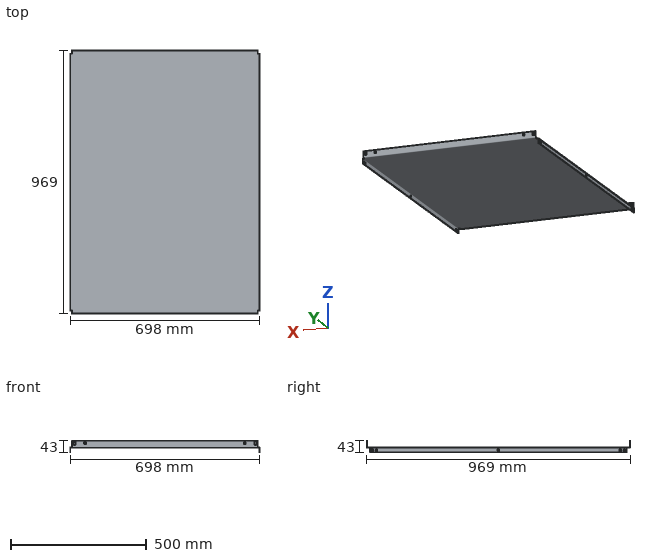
import cadquery as cq

width = 698.0
length = 969.0
thickness = 1.5
bend_inner_radius = 1.0
end_flange_height = 26.0
side_flange_height = 18.5
end_flange_length = 685.0
side_flange_length = 946.0
flange_corner_radius = 3.0

end_hole_drop = 9.0
end_hole_diameter = 7.0
end_hole_spacing = 588.0
end_slot_width = 7.0
end_slot_height = 13.0
end_slot_spacing = 666.0

side_hole_rise = 8.0
side_hole_diameter = 6.0
side_hole_spacings = (898.0, 928.0)

bend_outer_radius = bend_inner_radius + thickness
panel_bottom = -thickness
end_flange_top = panel_bottom + end_flange_height
side_flange_bottom = -side_flange_height
end_hole_z = end_flange_top - end_hole_drop
side_hole_z = side_flange_bottom + side_hole_rise


def channel(span, depth, run, corner_radius):
    """U-shaped bent strip along Y: web at the bottom, legs at both X ends, rounded free corners."""
    outer = (
        cq.Workplane("XY")
        .box(span, run, depth, centered=(True, True, False))
        .edges("|Y and <Z")
        .fillet(bend_outer_radius)
    )
    inner = (
        cq.Workplane("XY", origin=(0, 0, thickness))
        .box(span - 2 * thickness, run, depth, centered=(True, True, False))
        .edges("|Y and <Z")
        .fillet(bend_inner_radius)
    )
    return outer.cut(inner).edges("|X and >Z").edges(">Y or <Y").fillet(corner_radius)


def end_flange_channel():
    """Panel with the end flanges turned up at both Y ends."""
    bent = channel(length, end_flange_height, end_flange_length, flange_corner_radius)
    return bent.rotate((0, 0, 0), (0, 0, 1), 90).translate((0, 0, panel_bottom))


def side_flange_channel():
    """Panel with the side flanges turned down at both X ends."""
    bent = channel(width, side_flange_height, side_flange_length, flange_corner_radius)
    return bent.rotate((0, 0, 0), (0, 1, 0), 180)


def mirrored_points(spacings):
    """A pair of points for each spacing, placed symmetrically about the middle of a flange."""
    return [(side * spacing / 2, 0) for spacing in spacings for side in (-1, 1)]


def end_flange_cuts():
    """Cutters running along Y through both end flanges."""
    plane = cq.Workplane("XZ", origin=(0, 0, end_hole_z))
    holes = (
        plane.pushPoints(mirrored_points([end_hole_spacing]))
        .circle(end_hole_diameter / 2)
        .extrude(length, both=True)
    )
    slots = (
        plane.pushPoints(mirrored_points([end_slot_spacing]))
        .slot2D(end_slot_height, end_slot_width, 90)
        .extrude(length, both=True)
    )
    return holes.union(slots)


def side_flange_cuts():
    """Cutters running along X through both side flanges."""
    return (
        cq.Workplane("YZ", origin=(0, 0, side_hole_z))
        .pushPoints(mirrored_points(side_hole_spacings) + [(0, 0)])
        .circle(side_hole_diameter / 2)
        .extrude(width, both=True)
    )


shelf = end_flange_channel().union(side_flange_channel())
result = shelf.cut(end_flange_cuts()).cut(side_flange_cuts())